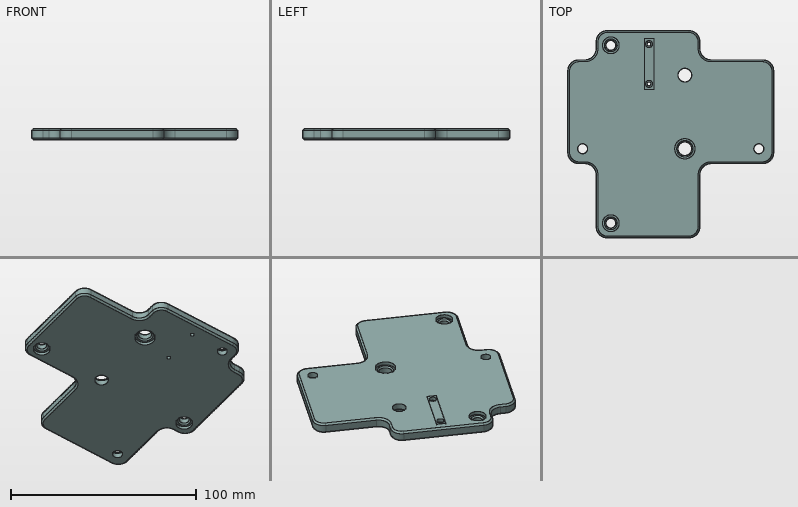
import cadquery as cq

size_x = 111.0
size_y = 111.7
thickness = 6.0
arm_width = 56.0
long_arm_left_x = -40.2
long_arm_center_x = long_arm_left_x + arm_width / 2
cross_arm_front_y = -15.9
cross_arm_center_y = cross_arm_front_y + arm_width / 2
corner_radius = 6.0
edge_chamfer = 1.0

counterbore_depth = 1.9
small_bore = {"counterbore": 9.0, "cone": 6.9, "through": 5.2}
large_bore = {"counterbore": 11.0, "cone": 8.8, "through": 7.3}

small_top_x = -32.3
small_top_y = 47.9
small_bottom_x = 47.5
lower_row_y = -7.8
large_bore_x = 7.6
large_bottom_y = 31.8

slot_width = 5.1
slot_length = 27.7
slot_depth = 3.0
slot_center_x = -11.6
slot_center_y = 37.9
bar_clearance = 0.1
bar_width = slot_width - 2 * bar_clearance
bar_length = slot_length - 2 * bar_clearance

screw_x = -11.7
screw_spacing = 21.5
screw_diameter = 2.0
screw_head_diameter = 3.8
screw_head_depth = 2.0
screw_points = [(screw_x, slot_center_y + side * screw_spacing / 2) for side in (-1, 1)]


def make_blank():
    """Cross-shaped plate with rounded corners and chamfered rims."""
    long_arm = cq.Workplane("XY").center(long_arm_center_x, 0).rect(arm_width, size_y).extrude(thickness)
    cross_arm = cq.Workplane("XY").center(0, cross_arm_center_y).rect(size_x, arm_width).extrude(thickness)
    blank = long_arm.union(cross_arm).edges("|Z").fillet(corner_radius)
    return blank.faces("<Z or >Z").edges().chamfer(edge_chamfer)


def make_stepped_bore(x, y, bore, from_top):
    """Cutter for one stepped bore, entered from the top or the bottom face."""
    through_radius = bore["through"] / 2
    cone_radius = bore["cone"] / 2
    counterbore_radius = bore["counterbore"] / 2
    counterbore_floor = thickness - counterbore_depth
    cone_end = counterbore_floor - (cone_radius - through_radius)
    cutter = (
        cq.Workplane("XZ")
        .moveTo(0, 0)
        .lineTo(through_radius, 0)
        .lineTo(through_radius, cone_end)
        .lineTo(cone_radius, counterbore_floor)
        .lineTo(counterbore_radius, counterbore_floor)
        .lineTo(counterbore_radius, thickness)
        .lineTo(0, thickness)
        .close()
        .revolve(360, (0, 0, 0), (0, 1, 0))
    )
    if not from_top:
        cutter = cutter.mirror("XY", (0, 0, thickness / 2))
    return cutter.translate((x, y, 0))


def make_screw_holes(diameter, depth):
    """Cutters for both screw holes, sunk from the top face."""
    return (
        cq.Workplane("XY")
        .workplane(offset=thickness - depth)
        .pushPoints(screw_points)
        .circle(diameter / 2)
        .extrude(depth)
    )


def make_slot_block(width, length):
    """Block centered on the slot, from its floor up to the top face."""
    return (
        cq.Workplane("XY")
        .workplane(offset=thickness - slot_depth)
        .center(slot_center_x, slot_center_y)
        .rect(width, length)
        .extrude(slot_depth)
    )


def make_plate():
    """Plate with three stepped bores from each face, the slot and the screw holes."""
    plate = make_blank()
    stepped_bores = [
        (small_top_x, small_top_y, small_bore, True),
        (small_top_x, -small_top_y, small_bore, True),
        (-small_bottom_x, lower_row_y, small_bore, False),
        (small_bottom_x, lower_row_y, small_bore, False),
        (large_bore_x, lower_row_y, large_bore, True),
        (large_bore_x, large_bottom_y, large_bore, False),
    ]
    for x, y, bore, from_top in stepped_bores:
        plate = plate.cut(make_stepped_bore(x, y, bore, from_top))
    plate = plate.cut(make_slot_block(slot_width, slot_length))
    return plate.cut(make_screw_holes(screw_diameter, thickness))


def make_bar():
    """Bar flush with the top face, with two counterbored screw holes."""
    bar = make_slot_block(bar_width, bar_length)
    bar = bar.cut(make_screw_holes(screw_diameter, thickness))
    return bar.cut(make_screw_holes(screw_head_diameter, screw_head_depth))


plate = make_plate()
bar = make_bar()

result = cq.Compound.makeCompound([plate.val(), bar.val()])